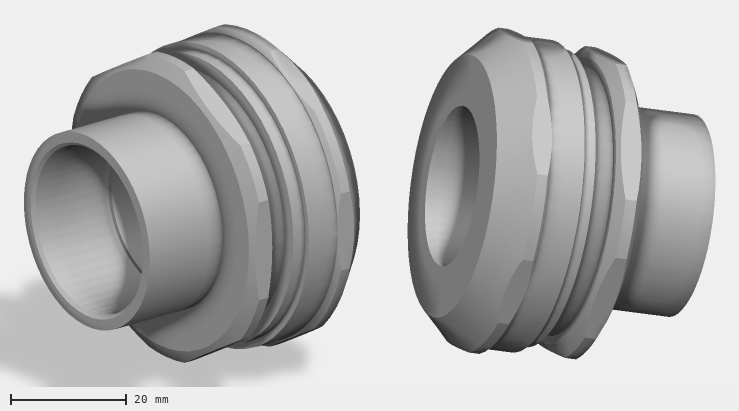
import cadquery as cq

TUBE_LENGTH = 16.0
HEX_END = 20.9
NECK_END = 25.0
RING_END = 27.45
COLLAR_END = 33.55
TOTAL_LENGTH = 42.0

TUBE_DIAMETER = 35.3
NECK_DIAMETER = 47.0
RING_DIAMETER = 52.0
COLLAR_DIAMETER = 54.5

HEX_FLATS = 52.0
HEX_CORNER_DIAMETER = 55.1
HEX_FACE_DIAMETER = 50.1
HEX_CHAMFER_LENGTH = 1.4

NUT_FLATS = 55.0
NUT_CORNER_DIAMETER = 56.8
NUT_FRONT_DIAMETER = 55.1
NUT_FRONT_CHAMFER_LENGTH = 0.75
NUT_BACK_DIAMETER = 45.9
NUT_BACK_CHAMFER_LENGTH = 5.8

MOUTH_DIAMETER = 31.45
SOCKET_DIAMETER = 30.3
SEAT_DIAMETER = 29.55
BORE_DIAMETER = 28.0
MOUTH_CHAMFER_LENGTH = 0.55
SOCKET_DEPTH = 16.35
SEAT_CHAMFER_LENGTH = 0.7


def revolve_profile(diameters_and_places):
    """Solid of revolution about Y from (diameter, y) pairs listed in order of y."""
    outline = [(diameter / 2, y) for diameter, y in diameters_and_places]
    start_y = outline[0][1]
    end_y = outline[-1][1]
    points = [(0, start_y)] + outline + [(0, end_y)]
    return cq.Workplane("XY").polyline(points).close().revolve(360, (0, 0), (0, 1))


def cylinder(diameter, start, end):
    return revolve_profile([(diameter, start), (diameter, end)])


def hexagon_section(flats, corner, front, front_length, back, back_length, start, end):
    """Chamfered round body cut by six flats, with one pair of flats facing +X and -X."""
    body = revolve_profile([
        (front, start),
        (corner, start + front_length),
        (corner, end - back_length),
        (back, end),
    ])
    prism = (
        cq.Workplane("XZ", origin=(0, start, 0))
        .polygon(6, flats, circumscribed=True)
        .extrude(start - end)
    )
    return body.intersect(prism)


tube = cylinder(TUBE_DIAMETER, 0, TUBE_LENGTH)
hexagon = hexagon_section(
    HEX_FLATS, HEX_CORNER_DIAMETER,
    HEX_FACE_DIAMETER, HEX_CHAMFER_LENGTH,
    HEX_FACE_DIAMETER, HEX_CHAMFER_LENGTH,
    TUBE_LENGTH, HEX_END,
)
neck = cylinder(NECK_DIAMETER, HEX_END, NECK_END)
ring = cylinder(RING_DIAMETER, NECK_END, RING_END)
collar = cylinder(COLLAR_DIAMETER, RING_END, COLLAR_END)
nut = hexagon_section(
    NUT_FLATS, NUT_CORNER_DIAMETER,
    NUT_FRONT_DIAMETER, NUT_FRONT_CHAMFER_LENGTH,
    NUT_BACK_DIAMETER, NUT_BACK_CHAMFER_LENGTH,
    COLLAR_END, TOTAL_LENGTH,
)

bore = revolve_profile([
    (MOUTH_DIAMETER, 0),
    (SOCKET_DIAMETER, MOUTH_CHAMFER_LENGTH),
    (SOCKET_DIAMETER, SOCKET_DEPTH - SEAT_CHAMFER_LENGTH),
    (SEAT_DIAMETER, SOCKET_DEPTH),
    (BORE_DIAMETER, SOCKET_DEPTH),
    (BORE_DIAMETER, TOTAL_LENGTH),
])

result = tube.union(hexagon).union(neck).union(ring).union(collar).union(nut).cut(bore)